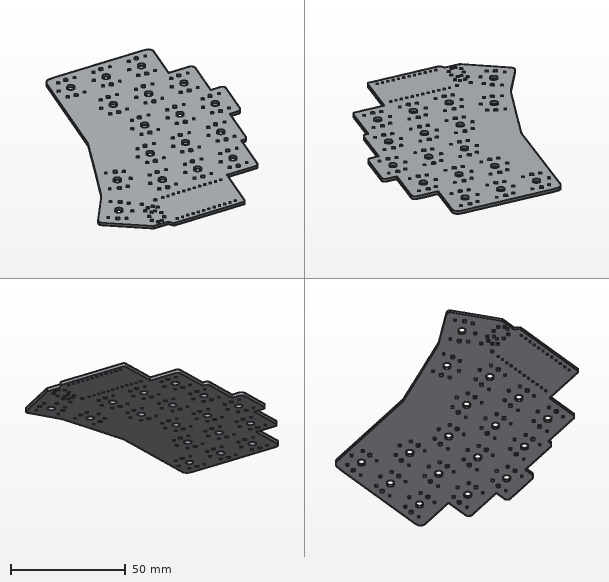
import cadquery as cq
import math

THICKNESS = 1.6

COLUMN_PITCH = 18.0
ROW_PITCH = 17.0
FIRST_COLUMN_X = 9.0
MIDDLE_KEY_Y = [42.91, 55.13, 61.93, 56.34, 53.93]
THUMB_KEYS = [(72.93, 18.93, 165.0), (91.43, 11.22, 150.0)]

STEM_DIAMETER = 3.43
PEG_DIAMETER = 1.7
PEG_OFFSET = 5.5
PIN_DIAMETER = 1.27
CENTRE_PIN_Y = -5.9
SIDE_PIN_X = 5.0
SIDE_PIN_Y = -3.8
LATCH_DIAMETER = 0.99
LATCH_X = 5.22
LATCH_Y = 4.2

HEADER_DIAMETER = 0.81
HEADER_PITCH = 2.54
HEADER_PIN_COUNT = 12
HEADER_ROW_SPACING = 6 * HEADER_PITCH
CONTROLLER_X = 99.37
CONTROLLER_TOP_PIN_Y = 60.12

JACK_AXIS_Y = 24.5
JACK_PIN_DIAMETER = 1.3
JACK_PIN_X = [96.65, 100.65, 103.65]
JACK_PIN_OFFSET = 2.98
JACK_SLEEVE_X = 95.25
JACK_SLEEVE_OFFSET = 1.2
JACK_PEG_DIAMETER = 1.2
JACK_PEG_X = [98.55, 105.55]
JACK_PEG_OFFSET = 0.87
RESET_DIAMETER = 1.3
RESET_X = 92.0
RESET_AXIS_Y = 25.25
RESET_OFFSET = 3.25

BOARD_LENGTH = 109.25
BOARD_WIDTH = 87.45
BOTTOM_Y = 17.3
LEFT_TAPER = 0.4
LEFT_TAPER_BOTTOM_Y = 21.8
LEFT_TAPER_TOP_Y = 65.0
STEP_X = [18.15, 36.1, 53.9, 72.0, 89.95]
COLUMN_TOP_Y = [68.8, 80.85, BOARD_WIDTH, 81.9, 79.15]
CONTROLLER_TOP_Y = 63.95
JACK_EDGE_X = 107.3
JACK_EDGE_TOP_Y = 27.7
JACK_EDGE_BOTTOM_Y = 20.7
CONTROLLER_BOTTOM_Y = 29.5
THUMB_EDGE = [(79.35, 8.3), (62.05, 13.05), (45.9, BOTTOM_Y)]
THUMB_CORNER = (94.95, -0.65)
THUMB_CORNER_RADIUS = 1.8
BOTTOM_LEFT_RADIUS = 2.4
COLUMN_RADIUS = [2.7, 2.0, 1.7, 1.5, 1.2]
CONTROLLER_RADIUS = 0.7


def board():
    """Flat plate whose outer corners are rounded."""
    bottom_left = (LEFT_TAPER, BOTTOM_Y, BOTTOM_LEFT_RADIUS)
    top_left = (LEFT_TAPER, COLUMN_TOP_Y[0], COLUMN_RADIUS[0])
    rounded = [
        bottom_left,
        top_left,
        (STEP_X[0], COLUMN_TOP_Y[1], COLUMN_RADIUS[1]),
        (STEP_X[1], COLUMN_TOP_Y[2], COLUMN_RADIUS[2]),
        (STEP_X[2], COLUMN_TOP_Y[2], COLUMN_RADIUS[2]),
        (STEP_X[3], COLUMN_TOP_Y[3], COLUMN_RADIUS[3]),
        (STEP_X[4], COLUMN_TOP_Y[4], COLUMN_RADIUS[4]),
        (BOARD_LENGTH, CONTROLLER_TOP_Y, CONTROLLER_RADIUS),
        (*THUMB_CORNER, THUMB_CORNER_RADIUS),
    ]
    outline = [
        bottom_left[:2],
        (0, LEFT_TAPER_BOTTOM_Y),
        (0, LEFT_TAPER_TOP_Y),
        top_left[:2],
        (STEP_X[0], COLUMN_TOP_Y[0]),
        (STEP_X[0], COLUMN_TOP_Y[1]),
        (STEP_X[1], COLUMN_TOP_Y[1]),
        (STEP_X[1], COLUMN_TOP_Y[2]),
        (STEP_X[2], COLUMN_TOP_Y[2]),
        (STEP_X[2], COLUMN_TOP_Y[3]),
        (STEP_X[3], COLUMN_TOP_Y[3]),
        (STEP_X[3], COLUMN_TOP_Y[4]),
        (STEP_X[4], COLUMN_TOP_Y[4]),
        (STEP_X[4], CONTROLLER_TOP_Y),
        (BOARD_LENGTH, CONTROLLER_TOP_Y),
        (BOARD_LENGTH, CONTROLLER_BOTTOM_Y),
        (JACK_EDGE_X, JACK_EDGE_TOP_Y),
        (JACK_EDGE_X, JACK_EDGE_BOTTOM_Y),
        THUMB_CORNER,
        *THUMB_EDGE,
    ]
    plate = cq.Workplane("XY").polyline(outline).close().extrude(THICKNESS)
    for x, y, radius in rounded:
        corner = cq.selectors.NearestToPointSelector((x, y, THICKNESS / 2))
        plate = plate.edges("|Z").edges(corner).fillet(radius)
    return plate


def drill(plate, centres, diameter):
    """Drills round holes through the whole plate."""
    drills = cq.Workplane("XY").pushPoints(centres).circle(diameter / 2).extrude(THICKNESS)
    return plate.cut(drills)


def key_positions():
    """Centre and rotation of every key switch."""
    keys = list(THUMB_KEYS)
    for column, middle_y in enumerate(MIDDLE_KEY_Y):
        for row in (-1, 0, 1):
            keys.append((FIRST_COLUMN_X + column * COLUMN_PITCH, middle_y + row * ROW_PITCH, 0.0))
    return keys


def at_every_key(local_points):
    """Repeats points given relative to a key centre at every key."""
    points = []
    for key_x, key_y, rotation in key_positions():
        cosine = math.cos(math.radians(rotation))
        sine = math.sin(math.radians(rotation))
        for x, y in local_points:
            points.append((key_x + x * cosine - y * sine, key_y + x * sine + y * cosine))
    return points


def drill_keys(plate):
    pegs = [(-PEG_OFFSET, 0), (PEG_OFFSET, 0)]
    pins = [(0, CENTRE_PIN_Y), (-SIDE_PIN_X, SIDE_PIN_Y), (SIDE_PIN_X, SIDE_PIN_Y)]
    latches = [(-LATCH_X, LATCH_Y), (LATCH_X, LATCH_Y)]
    plate = drill(plate, at_every_key([(0, 0)]), STEM_DIAMETER)
    plate = drill(plate, at_every_key(pegs), PEG_DIAMETER)
    plate = drill(plate, at_every_key(pins), PIN_DIAMETER)
    return drill(plate, at_every_key(latches), LATCH_DIAMETER)


def drill_controller(plate):
    centres = []
    for side in (-1, 1):
        for pin in range(HEADER_PIN_COUNT):
            x = CONTROLLER_X + side * HEADER_ROW_SPACING / 2
            centres.append((x, CONTROLLER_TOP_PIN_Y - pin * HEADER_PITCH))
    return drill(plate, centres, HEADER_DIAMETER)


def mirrored_pairs(x_positions, axis_y, offset):
    """Pairs of points mirrored about a line along X."""
    return [(x, axis_y + side * offset) for x in x_positions for side in (-1, 1)]


def drill_jack(plate):
    pins = mirrored_pairs(JACK_PIN_X, JACK_AXIS_Y, JACK_PIN_OFFSET)
    sleeve_pins = mirrored_pairs([JACK_SLEEVE_X], JACK_AXIS_Y, JACK_SLEEVE_OFFSET)
    pegs = mirrored_pairs(JACK_PEG_X, JACK_AXIS_Y, JACK_PEG_OFFSET)
    plate = drill(plate, pins + sleeve_pins, JACK_PIN_DIAMETER)
    return drill(plate, pegs, JACK_PEG_DIAMETER)


def drill_reset(plate):
    return drill(plate, mirrored_pairs([RESET_X], RESET_AXIS_Y, RESET_OFFSET), RESET_DIAMETER)


plate = drill_keys(board())
plate = drill_controller(plate)
plate = drill_jack(plate)
result = drill_reset(plate)